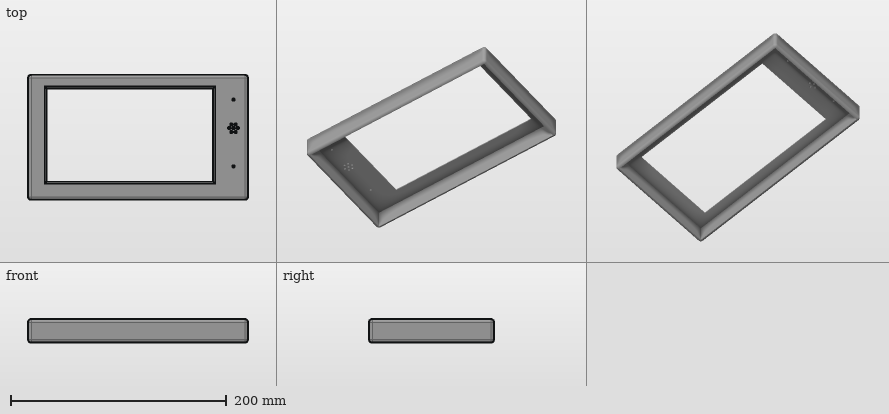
import cadquery as cq
import math

LENGTH = 204.0
WIDTH = 116.0
HEIGHT = 22.0
EDGE_RADIUS = 3.0

WALL = 3.0
FACE_THICKNESS = 3.0

WINDOW_LENGTH = 154.0
WINDOW_WIDTH = 86.1
WINDOW_X = -7.5
WINDOW_Y = 2.05
BEVEL_SIZE = 2.0

HOLES_X = 88.5
SPEAKER_Y = 8.5
SPEAKER_HOLE_DIAMETER = 2.0
SPEAKER_HOLE_PITCH = 4.0
SPEAKER_RING_COUNT = 6
SMALL_HOLE_DIAMETER = 2.0
SMALL_HOLES_Y = (35.0, -27.0)

FACE_UNDERSIDE = HEIGHT - FACE_THICKNESS


def rounded_body():
    """Solid block with every outer edge rounded."""
    block = cq.Workplane("XY").box(LENGTH, WIDTH, HEIGHT, centered=(True, True, False))
    return block.edges().fillet(EDGE_RADIUS)


def cavity():
    """Rectangular hollow below the front face."""
    return cq.Workplane("XY").box(
        LENGTH - 2 * WALL, WIDTH - 2 * WALL, FACE_UNDERSIDE, centered=(True, True, False)
    )


def window():
    """Window cutter with upright sides below a 45 degree bevel at the front face."""
    opening = (
        cq.Workplane("XY", origin=(WINDOW_X, WINDOW_Y, FACE_UNDERSIDE))
        .rect(WINDOW_LENGTH, WINDOW_WIDTH)
        .extrude(FACE_THICKNESS)
    )
    bevel = (
        cq.Workplane("XY", origin=(WINDOW_X, WINDOW_Y, HEIGHT - BEVEL_SIZE))
        .rect(WINDOW_LENGTH, WINDOW_WIDTH)
        .workplane(offset=BEVEL_SIZE)
        .rect(WINDOW_LENGTH + 2 * BEVEL_SIZE, WINDOW_WIDTH + 2 * BEVEL_SIZE)
        .loft(ruled=True)
    )
    return opening.union(bevel)


def face_holes(centres, diameter):
    """Round cutters through the front face at the given centres."""
    return (
        cq.Workplane("XY", origin=(0, 0, FACE_UNDERSIDE))
        .pushPoints(centres)
        .circle(diameter / 2)
        .extrude(FACE_THICKNESS)
    )


def speaker_centres():
    """One centre hole surrounded by an even ring of holes."""
    centres = [(HOLES_X, SPEAKER_Y)]
    for index in range(SPEAKER_RING_COUNT):
        angle = 2 * math.pi * index / SPEAKER_RING_COUNT
        x = HOLES_X + SPEAKER_HOLE_PITCH * math.cos(angle)
        y = SPEAKER_Y + SPEAKER_HOLE_PITCH * math.sin(angle)
        centres.append((x, y))
    return centres


small_hole_centres = [(HOLES_X, y) for y in SMALL_HOLES_Y]

result = (
    rounded_body()
    .cut(cavity())
    .cut(window())
    .cut(face_holes(speaker_centres(), SPEAKER_HOLE_DIAMETER))
    .cut(face_holes(small_hole_centres, SMALL_HOLE_DIAMETER))
)